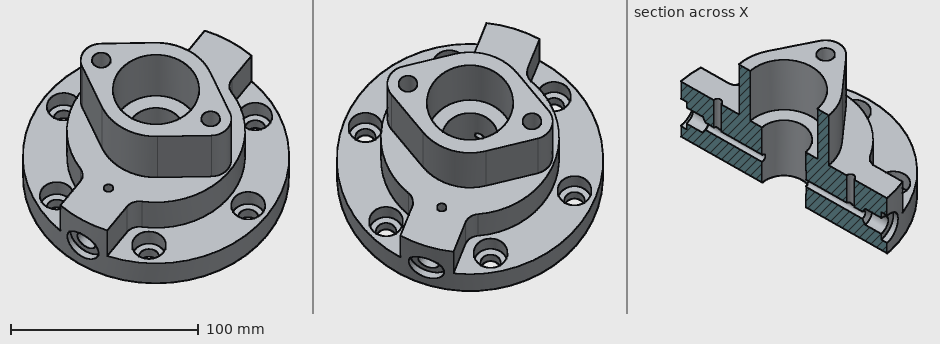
import cadquery as cq
import math

flange_diameter = 142.0
flange_height = 18.0

hub_diameter = 95.0
hub_top = 41.0
ear_width = 30.0
ear_fillet = 8.0

boss_top = 78.0
boss_diameter = 62.0
lobe_diameter = 22.0
lobe_radius = lobe_diameter / 2
lobe_spacing = 70.0
lobe_offset = lobe_spacing / 2

bore_diameter = 30.0
socket_diameter = 46.0
socket_depth = boss_top - hub_top

bolt_count = 6
bolt_circle_diameter = 118.0
bolt_hole_diameter = 11.0
bolt_head_diameter = 18.0
bolt_head_depth = 11.0

lobe_hole_diameter = 10.0
lobe_hole_depth = 20.0
drill_point_angle = 118.0

port_height = flange_height
port_face_diameter = 20.0
port_face_depth = 4.0
port_diameter = 11.5
port_depth = 15.0
passage_diameter = 5.0
vent_offset = 45.7


def upright_cylinder(diameter, bottom, top):
    return cq.Workplane("XY").workplane(offset=bottom).circle(diameter / 2).extrude(top - bottom)


def drilled_hole(diameter, depth):
    """Hole along -Z from the origin, with a conical drill point below its full-diameter depth."""
    radius = diameter / 2
    point_length = radius / math.tan(math.radians(drill_point_angle / 2))
    profile = [(0, 0), (radius, 0), (radius, -depth), (0, -depth - point_length)]
    return cq.Workplane("XZ").polyline(profile).close().revolve(360, (0, 0, 0), (0, 1, 0))


def make_hub():
    hub = upright_cylinder(hub_diameter, 0, hub_top)
    ears = cq.Workplane("XY").rect(ear_width, flange_diameter).extrude(hub_top)
    rim = upright_cylinder(flange_diameter, 0, hub_top)
    corner_y = math.sqrt((hub_diameter / 2) ** 2 - (ear_width / 2) ** 2)
    corners = cq.selectors.BoxSelector(
        (-ear_width, -corner_y - 1.4, 0), (ear_width, corner_y + 1.4, hub_top)
    )
    body = hub.union(ears.intersect(rim))
    return body.edges("|Z").edges(corners).fillet(ear_fillet)


def make_boss():
    boss_radius = boss_diameter / 2
    normal_x = (boss_radius - lobe_radius) / lobe_offset
    normal_y = math.sqrt(1 - normal_x**2)
    center_x = boss_radius * normal_x
    center_y = boss_radius * normal_y
    lobe_x = lobe_offset + lobe_radius * normal_x
    lobe_y = lobe_radius * normal_y
    lobe_tip = lobe_offset + lobe_radius
    return (
        cq.Workplane("XY")
        .workplane(offset=hub_top)
        .moveTo(-center_x, center_y)
        .threePointArc((0, boss_radius), (center_x, center_y))
        .lineTo(lobe_x, lobe_y)
        .threePointArc((lobe_tip, 0), (lobe_x, -lobe_y))
        .lineTo(center_x, -center_y)
        .threePointArc((0, -boss_radius), (-center_x, -center_y))
        .lineTo(-lobe_x, -lobe_y)
        .threePointArc((-lobe_tip, 0), (-lobe_x, lobe_y))
        .close()
        .extrude(boss_top - hub_top)
    )


def cut_central_bore(body):
    bore = upright_cylinder(bore_diameter, 0, boss_top)
    socket = upright_cylinder(socket_diameter, boss_top - socket_depth, boss_top)
    return body.cut(bore).cut(socket)


def cut_bolt_holes(body):
    hole = upright_cylinder(bolt_hole_diameter, 0, flange_height)
    head = upright_cylinder(bolt_head_diameter, flange_height - bolt_head_depth, flange_height)
    cutter = hole.union(head).translate((bolt_circle_diameter / 2, 0, 0))
    for index in range(bolt_count):
        angle = index * 360 / bolt_count
        body = body.cut(cutter.rotate((0, 0, 0), (0, 0, 1), angle))
    return body


def cut_lobe_holes(body):
    cutter = drilled_hole(lobe_hole_diameter, lobe_hole_depth)
    for side in (-1, 1):
        body = body.cut(cutter.translate((side * lobe_offset, 0, boss_top)))
    return body


def cut_ports(body):
    face = upright_cylinder(port_face_diameter, -port_face_depth, 0)
    passage = upright_cylinder(passage_diameter, -flange_diameter / 2, 0)
    port = drilled_hole(port_diameter, port_depth).union(face).union(passage)
    port = port.rotate((0, 0, 0), (1, 0, 0), 90).translate((0, -flange_diameter / 2, port_height))
    vent = upright_cylinder(passage_diameter, port_height, hub_top).translate((0, -vent_offset, 0))
    for angle in (0, 180):
        for cutter in (port, vent):
            body = body.cut(cutter.rotate((0, 0, 0), (0, 0, 1), angle))
    return body


result = upright_cylinder(flange_diameter, 0, flange_height).union(make_hub()).union(make_boss())
result = cut_central_bore(result)
result = cut_bolt_holes(result)
result = cut_lobe_holes(result)
result = cut_ports(result)